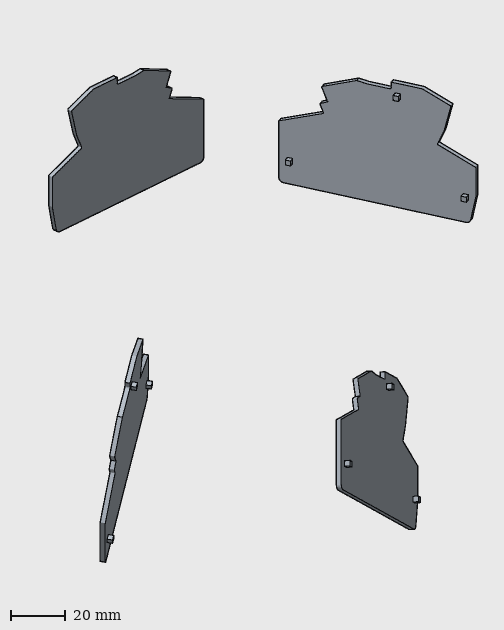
import cadquery as cq

length = 77.8
height = 52.7
plate_thickness = 1.95
peg_length = 2.0
peg_side = 2.1
base_radius = 1.95
edge_radius = 0.4
step_radius = 0.6

back_end_height = 25.8
front_end_height = 24.3
front_taper_height = 11.75
front_taper_inset = 2.3
ledge_height = 49.7
step_distance = 44.4

outline_corners = [
    (0, 0, base_radius),
    (0, back_end_height, edge_radius),
    (17.75, 33.15, edge_radius),
    (16.2, 36.95, edge_radius),
    (19.3, 38.4, 0),
    (16.9, 44.35, edge_radius),
    (30.8, 50.2, 0),
    (34.7, ledge_height, 0),
    (step_distance, ledge_height, step_radius),
    (step_distance, height, 0),
    (56.65, height, edge_radius),
    (68.0, 48.0, edge_radius),
    (65.3, 36.8, 0),
    (62.6, 30.5, edge_radius),
    (length, front_end_height, edge_radius),
    (length, front_taper_height, 0),
    (length - front_taper_inset, 0, base_radius),
]

peg_centres = [(4.5, 10.1), (47.1, 47.5), (73.9, 11.0)]


def y_position(distance):
    """Y coordinate of a point at the given distance from the +Y end."""
    return length / 2 - distance


def make_plate():
    """Flat plate with its inner face on X = 0 and its corners rounded."""
    points = [(y_position(distance), z) for distance, z, _ in outline_corners]
    plate = cq.Workplane("YZ").polyline(points).close().extrude(plate_thickness)
    mid_plane = plate_thickness / 2
    for distance, z, radius in outline_corners:
        if radius > 0:
            corner = cq.selectors.NearestToPointSelector((mid_plane, y_position(distance), z))
            plate = plate.edges("|X").edges(corner).fillet(radius)
    return plate


def make_pegs():
    """Square locating pegs standing out toward -X."""
    centres = [(y_position(distance), z) for distance, z in peg_centres]
    return cq.Workplane("YZ").pushPoints(centres).rect(peg_side, peg_side).extrude(-peg_length)


result = make_plate().union(make_pegs())